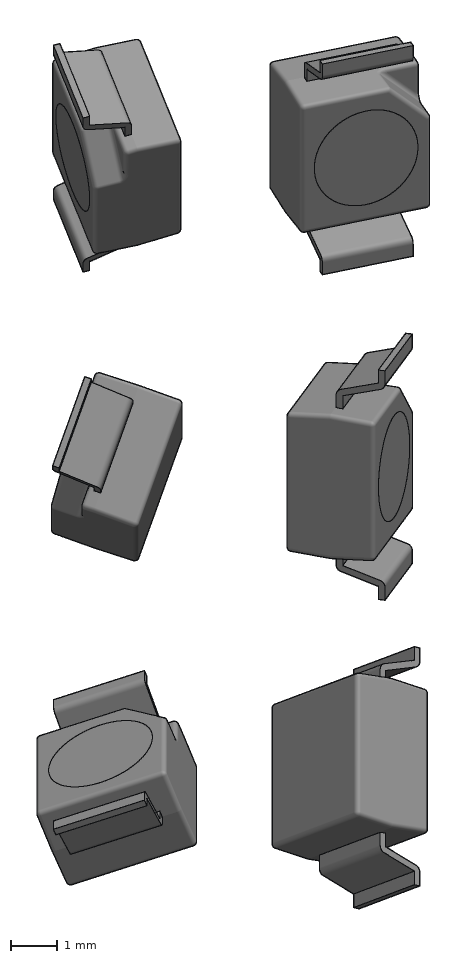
import cadquery as cq
import math

housing_width = 3.0
housing_depth = 2.0
housing_height = 3.4
end_drop = 0.07
edge_radius = 0.1

step_leg = 1.0
step_floor_y = -0.3

overall_height = 5.4
lead_width = 2.1
lead_thickness = 0.15
lead_front_y = -1.1
lead_slope = math.radians(16.5)
lead_bend_z = 2.0

lens_diameter = 2.4
lens_depth = 0.5

tolerance = 0.0005

half_depth = housing_depth / 2
half_height = housing_height / 2


def make_block():
    """Six-sided profile in the YZ plane, extruded symmetrically along X."""
    end_z = half_height - end_drop
    profile = [
        (-half_depth, -end_z),
        (0, -half_height),
        (half_depth, -end_z),
        (half_depth, end_z),
        (0, half_height),
        (-half_depth, end_z),
    ]
    return cq.Workplane("YZ").polyline(profile).close().extrude(housing_width / 2, both=True)


def make_corner_step():
    """Triangular cutter for the front upper +X corner."""
    corner_x = housing_width / 2
    triangle = [
        (corner_x - 2 * step_leg, half_height + step_leg),
        (corner_x + step_leg, half_height + step_leg),
        (corner_x + step_leg, half_height - 2 * step_leg),
    ]
    return (
        cq.Workplane("XZ", origin=(0, step_floor_y, 0))
        .polyline(triangle)
        .close()
        .extrude(housing_depth)
    )


def is_parting_line(edge):
    """True for the straight ridges along X where the sloping faces meet."""
    middle = edge.Center()
    return abs(middle.y) < tolerance and abs(abs(middle.z) - half_height) < tolerance


def round_edges(block):
    """Round every edge except the two parting lines."""
    edges = [edge for edge in block.edges().vals() if not is_parting_line(edge)]
    return block.newObject(edges).fillet(edge_radius)


def make_lead(side):
    """Bent lead at the upper end (side = 1) or the lower end (side = -1)."""
    tip_z = overall_height / 2
    root_z = half_height - edge_radius
    foot_back_y = lead_front_y + lead_thickness
    strip_height = lead_thickness / math.cos(lead_slope)

    def lower_face_z(y):
        return lead_bend_z + (-lead_thickness - y) * math.tan(lead_slope)

    outer_bends = [
        (0, lower_face_z(0) + strip_height),
        (lead_front_y, lower_face_z(lead_front_y)),
    ]
    profile = [
        (0, root_z),
        outer_bends[0],
        (foot_back_y, lower_face_z(foot_back_y) + strip_height),
        (foot_back_y, tip_z),
        (lead_front_y, tip_z),
        outer_bends[1],
        (-lead_thickness, lead_bend_z),
        (-lead_thickness, root_z),
    ]
    lead = cq.Workplane("YZ").polyline(profile).close().extrude(lead_width / 2, both=True)
    for y, z in outer_bends:
        lead = lead.edges(cq.selectors.NearestToPointSelector((0, y, z))).fillet(lead_thickness)
    return lead if side > 0 else lead.mirror("XY")


def make_lens():
    return (
        cq.Workplane("XZ", origin=(0, lens_depth - half_depth, 0))
        .circle(lens_diameter / 2)
        .extrude(lens_depth)
    )


lens = make_lens()

housing = round_edges(make_block().cut(make_corner_step()))
for side in (1, -1):
    housing = housing.union(make_lead(side))
housing = housing.cut(lens)

result = cq.Compound.makeCompound([housing.val(), lens.val()])